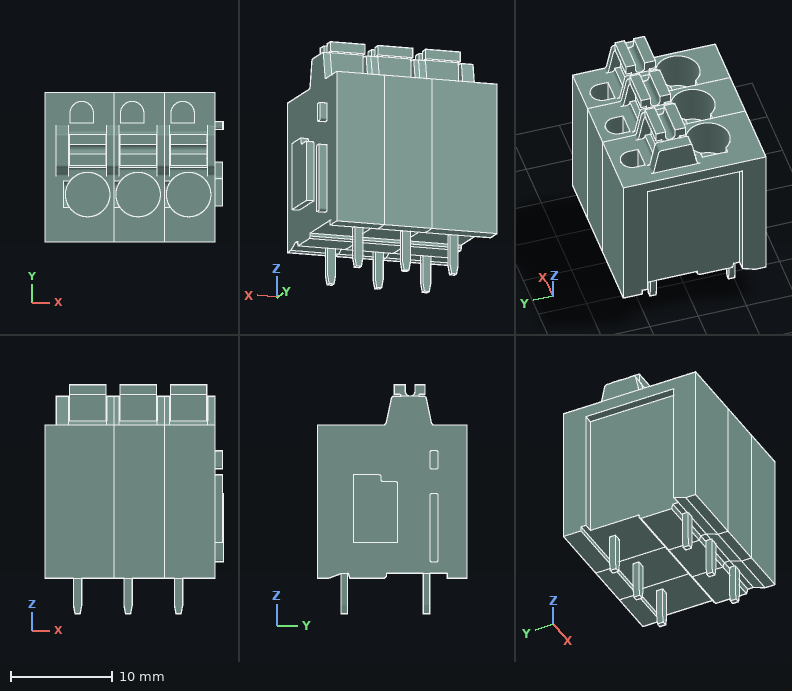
import cadquery as cq

pole_count = 3
pitch = 5.0
depth = 14.8
height = 15.19
overall_height = 22.7
embed = 0.23

end_wall = 1.85
recess_depth = 0.95
recess_front = 2.45
recess_rear = 12.28
recess_top = 13.94

floor_z = 0.5
rear_foot_front = 12.83
pad_rear = 6.83
pad_chamfer = 0.2
pad_front = 3.2
pad_front_slant = 0.15
front_slope_rear = 2.43
front_slope_front = 1.11

cheek_height = 2.85
left_cheek_width = 0.5
right_cheek_width = 0.73
cheek_foot_front = 6.75
cheek_foot_rear = 11.33
cheek_top_front = 7.35
cheek_top_rear = 10.74
cheek_top_radius = 0.32
cheek_foot_radius = 0.27

ledge_height = 0.4
ledge_front = 7.35
ledge_rear = 10.65
ledge_foot_radius = 0.32

actuator_gap = 0.07
head_front = 7.58
head_rear = 10.65
head_top = 19.18
neck_front = 8.26
neck_rear = 10.05
neck_fillet = 0.15
groove_width = 0.95
groove_centre_y = 9.17

wire_hole_diameter = 4.4
wire_hole_x = 2.38
wire_hole_y = 4.7
hole_depth = 4.09
slot_front = 3.4
slot_rear = 6.02
slot_depth = 2.27
slot_floor_radius = 0.68

test_hole_width = 2.32
test_hole_x = 1.8
test_hole_flat_y = 11.75
test_hole_arc_y = 12.75

pin_width = 0.85
pin_tip_width = 0.52
pin_thickness = 0.65
pin_x = 1.38
pin_fronts = (2.32, 10.46)
pin_tip_z = head_top - overall_height
pin_taper_length = 0.86

peg_front = 11.12
peg_rear = 11.95
peg_radius = 0.2
upper_peg_bottom = 10.83
upper_peg_top = 12.65
upper_peg_length = 0.75
lower_peg_bottom = 1.63
lower_peg_top = 8.4
lower_peg_length = 0.85
plate_thickness = upper_peg_length
plate_front = 3.56
plate_rear = 7.92
plate_bottom = 3.55
plate_top = 10.25
plate_step_y = 6.29
plate_step_height = 0.68


def box(x0, x1, y0, y1, z0, z1):
    """Block between two opposite corners."""
    return cq.Workplane("XY").box(x1 - x0, y1 - y0, z1 - z0, centered=False).translate((x0, y0, z0))


def along_x(outline, x0, x1):
    """Prism from x0 to x1 over an outline of (Y, Z) points."""
    return cq.Workplane("YZ").workplane(offset=x0).polyline(outline).close().extrude(x1 - x0)


def ridge(x0, x1, foot_front, foot_rear, top_front, top_rear, ridge_height, foot_radius):
    """Ridge along X on the housing top, blended into the top face by a concave fillet at its foot."""
    base_front = foot_front - 2 * foot_radius
    base_rear = foot_rear + 2 * foot_radius
    outline = [
        (base_front, height - embed),
        (base_rear, height - embed),
        (base_rear, height),
        (foot_rear, height),
        (top_rear, height + ridge_height),
        (top_front, height + ridge_height),
        (foot_front, height),
        (base_front, height),
    ]
    foot_corners = cq.selectors.BoxSelector(
        (x0 - embed, foot_front - foot_radius, height - embed / 2),
        (x1 + embed, foot_rear + foot_radius, height + embed / 2),
    )
    return along_x(outline, x0, x1).edges("|X").edges(foot_corners).fillet(foot_radius)


def housing_body(x0, x1):
    """Housing block with its stepped underside."""
    outline = [
        (0, 0),
        (front_slope_front, 0),
        (front_slope_rear, floor_z),
        (pad_front - pad_front_slant, floor_z),
        (pad_front, 0),
        (pad_rear - pad_chamfer, 0),
        (pad_rear, pad_chamfer),
        (pad_rear, floor_z),
        (rear_foot_front, floor_z),
        (rear_foot_front, 0),
        (depth, 0),
        (depth, height),
        (0, height),
    ]
    return along_x(outline, x0, x1)


def cheek(x0, x1):
    """Tapered cheek with rounded top edges."""
    shape = ridge(
        x0, x1,
        cheek_foot_front, cheek_foot_rear, cheek_top_front, cheek_top_rear,
        cheek_height, cheek_foot_radius,
    )
    return shape.faces(">Z").edges("|X").fillet(cheek_top_radius)


def actuator(x0, x1):
    """Neck standing on the ledge, with an overhanging head that has a groove along X."""
    groove_bottom = height + cheek_height
    head_bottom = groove_bottom + neck_fillet
    groove_radius = groove_width / 2
    groove_front = groove_centre_y - groove_radius
    groove_rear = groove_centre_y + groove_radius
    groove_wall_foot = groove_bottom + groove_radius
    return (
        cq.Workplane("YZ")
        .workplane(offset=x0)
        .moveTo(neck_front, height)
        .lineTo(neck_rear, height)
        .lineTo(neck_rear, head_bottom)
        .lineTo(head_rear, head_bottom)
        .lineTo(head_rear, head_top)
        .lineTo(groove_rear, head_top)
        .lineTo(groove_rear, groove_wall_foot)
        .threePointArc((groove_centre_y, groove_bottom), (groove_front, groove_wall_foot))
        .lineTo(groove_front, head_top)
        .lineTo(head_front, head_top)
        .lineTo(head_front, head_bottom)
        .lineTo(neck_front - neck_fillet, head_bottom)
        .tangentArcPoint((neck_front, head_bottom - neck_fillet), relative=False)
        .close()
        .extrude(x1 - x0)
    )


def wire_entry(x0):
    """Cutter for the round wire hole and the slot beside it."""
    hole = (
        cq.Workplane("XY")
        .workplane(offset=height - hole_depth)
        .center(x0 + wire_hole_x, wire_hole_y)
        .circle(wire_hole_diameter / 2)
        .extrude(hole_depth)
    )
    slot = box(x0, x0 + wire_hole_x, slot_front, slot_rear, height - slot_depth, height)
    slot = slot.faces("<Z").edges("|X").fillet(slot_floor_radius)
    return hole.union(slot)


def test_hole(x0):
    """Cutter for the D-shaped test hole."""
    left = x0 + test_hole_x - test_hole_width / 2
    right = left + test_hole_width
    return (
        cq.Workplane("XY")
        .workplane(offset=height - hole_depth)
        .moveTo(left, test_hole_flat_y)
        .lineTo(right, test_hole_flat_y)
        .lineTo(right, test_hole_arc_y)
        .threePointArc((x0 + test_hole_x, test_hole_arc_y + test_hole_width / 2), (left, test_hole_arc_y))
        .close()
        .extrude(hole_depth)
    )


def solder_pin(x_centre, y_front):
    """Flat pin with a tapered tip."""
    half = pin_width / 2
    half_tip = pin_tip_width / 2
    taper_z = pin_tip_z + pin_taper_length
    root_z = floor_z + embed
    outline = [
        (x_centre - half, root_z),
        (x_centre - half, taper_z),
        (x_centre - half_tip, pin_tip_z),
        (x_centre + half_tip, pin_tip_z),
        (x_centre + half, taper_z),
        (x_centre + half, root_z),
    ]
    return cq.Workplane("XZ", origin=(0, y_front, 0)).polyline(outline).close().extrude(-pin_thickness)


def coupling_peg(x_face, length, bottom, top):
    """Bar with rounded long edges that stands out of the right face."""
    peg = box(x_face - embed, x_face + length, peg_front, peg_rear, bottom, top)
    return peg.edges("|X").fillet(peg_radius)


def coupling_plate(x_face):
    """Stepped plate that stands out of the right face."""
    low_top = plate_top - plate_step_height
    outline = [
        (plate_front, plate_bottom),
        (plate_rear, plate_bottom),
        (plate_rear, low_top),
        (plate_step_y, low_top),
        (plate_step_y, plate_top),
        (plate_front, plate_top),
    ]
    rounded_corners = cq.selectors.BoxSelector(
        (x_face - pitch, plate_step_y - embed, low_top - embed),
        (x_face + pitch, plate_rear + embed, plate_top + embed),
    )
    plate = along_x(outline, x_face - embed, x_face + plate_thickness)
    return plate.edges("|X").edges(rounded_corners).fillet(peg_radius)


def end_recess():
    """Cutter for the recess in the outer face of the end wall, open at the underside."""
    return box(-end_wall, recess_depth - end_wall, recess_front, recess_rear, 0, recess_top)


def pole_module(index):
    """One pole: the first carries the end wall, the last carries the coupling pegs and plate."""
    is_first = index == 0
    is_last = index == pole_count - 1
    x0 = index * pitch
    x1 = x0 + pitch
    cheek_inner_left = x0 + left_cheek_width
    cheek_inner_right = x1 - right_cheek_width
    body_left = x0 - end_wall if is_first else x0
    cheek_left = x0 - right_cheek_width if is_first else x0

    module = housing_body(body_left, x1)
    module = module.union(
        ridge(
            cheek_inner_left, cheek_inner_right,
            ledge_front, ledge_rear, ledge_front, ledge_rear,
            ledge_height, ledge_foot_radius,
        )
    )
    module = module.union(cheek(cheek_left, cheek_inner_left))
    module = module.union(cheek(cheek_inner_right, x1))
    module = module.union(actuator(cheek_inner_left + actuator_gap, cheek_inner_right - actuator_gap))
    module = module.cut(wire_entry(x0))
    module = module.cut(test_hole(x0))
    for y_front in pin_fronts:
        module = module.union(solder_pin(x0 + pin_x, y_front))
    if is_first:
        module = module.cut(end_recess())
    if is_last:
        module = module.union(coupling_peg(x1, upper_peg_length, upper_peg_bottom, upper_peg_top))
        module = module.union(coupling_peg(x1, lower_peg_length, lower_peg_bottom, lower_peg_top))
        module = module.union(coupling_plate(x1))
    return module


modules = [pole_module(index) for index in range(pole_count)]

result = cq.Compound.makeCompound([module.val() for module in modules])